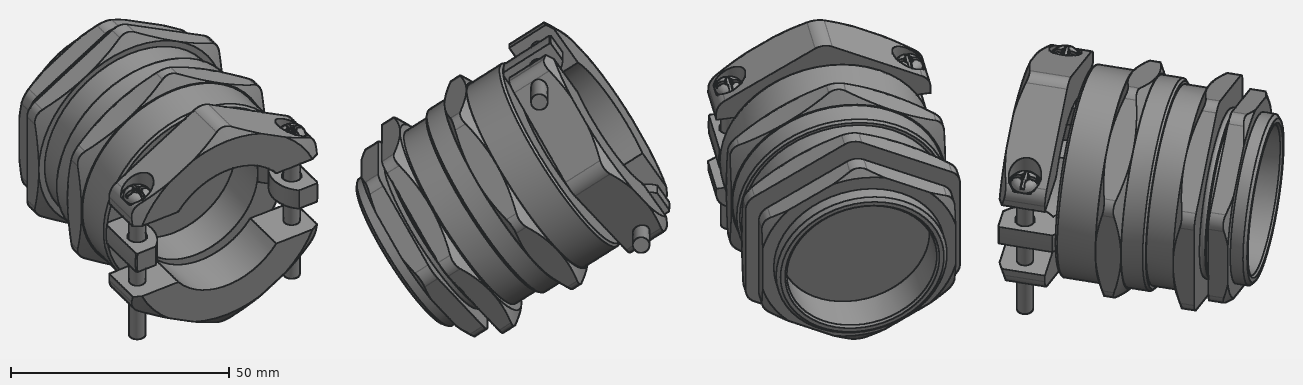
import cadquery as cq
import math

TOTAL_LENGTH = 57.2

HEX_FLATS = 50.0
HEX_CORNER_RADIUS = 4.0
HEX_CHAMFER_ANGLE = 30.0

THREAD_DIAMETER = 39.85
THREAD_CHAMFER_LENGTH = 0.75
THREAD_CHAMFER_DEPTH = 0.85
THREAD_END = 9.45
INLET_DIAMETER = 35.0
INLET_DEPTH = 9.15
INLET_CHAMFER = 0.5

SEAL_START = 9.7
SEAL_DIAMETER = THREAD_DIAMETER
SEAL_CROWN = 0.3
NECK_DIAMETER = 39.4

NUT_START = 3.7
NUT_END = 8.3
NUT_FLATS = 45.0
NUT_CHAMFER_DIAMETER = 46.6

BODY_HEX_START = 11.05
BODY_HEX_END = 16.0
BODY_DIAMETER = 46.85

CAP_DIAMETER = 49.5
CAP_START = 22.65
CAP_END = 43.8
CAP_CHAMFER = 0.6
CAP_HEX_START = 28.25
CAP_HEX_END = 34.25
OUTLET_DIAMETER = 33.5

LUG_THICKNESS = 5.4
LUG_WAIST_Y = 18.6
LUG_ROOT_CHAMFER = 0.65
LUG_END_CHAMFER = 0.3
LUG_BULGE_Y = 16.6
LUG_TIP_Y = 19.45
LUG_FLARE = LUG_WAIST_Y - OUTLET_DIAMETER / 2
LUG_HOLE_DIAMETER = 4.5

CLAMP_START = 46.1
CLAMP_CHAMFER_DIAMETER = 50.55
CLAMP_GAP = 20.5

SCREW_X = 51.7
SCREW_Y = 20.95
SCREW_DIAMETER = 3.85
SCREW_BOTTOM = -25.9
HEAD_SEAT = 14.4
HEAD_HEIGHT = 1.95
HEAD_DIAMETER = 6.5
COUNTERBORE_DIAMETER = 7.5
DRIVE_LENGTH = 5.85
DRIVE_WIDTH = 0.85
DRIVE_DEPTH = 1.15
DRIVE_CENTRE_DIAMETER = 2.2
DRIVE_CENTRE_DEPTH = 0.6


def revolve_about_x(points):
    """Turn an (x, radius) outline about the X axis."""
    return cq.Workplane("XY").polyline(points).close().revolve(360, (0, 0, 0), (1, 0, 0))


def rod(start, end, diameter):
    """Cylinder along the X axis."""
    return cq.Workplane("YZ", origin=(start, 0, 0)).circle(diameter / 2).extrude(end - start)


def post(x, y, bottom, top, diameter):
    """Cylinder along the Z direction."""
    return cq.Workplane("XY", origin=(x, y, bottom)).circle(diameter / 2).extrude(top - bottom)


def hexagon(start, end, flats, start_chamfer=None, end_chamfer=None):
    """Rounded hexagonal prism with corners up and down; a chamfer is given by its circle on the face."""
    corner_diameter = flats / math.cos(math.pi / 6)
    prism = (
        cq.Workplane("YZ", origin=(start, 0, 0))
        .transformed(rotate=(0, 0, 90))
        .polygon(6, corner_diameter)
        .extrude(end - start)
        .edges("|X")
        .fillet(HEX_CORNER_RADIUS)
    )
    outer = corner_diameter / 2
    slope = math.tan(math.radians(HEX_CHAMFER_ANGLE))
    start_radius = start_chamfer / 2 if start_chamfer else outer
    end_radius = end_chamfer / 2 if end_chamfer else outer
    outline = [(start, 0), (start, start_radius)]
    if start_chamfer:
        outline.append((start + (outer - start_radius) * slope, outer))
    if end_chamfer:
        outline.append((end - (outer - end_radius) * slope, outer))
    outline += [(end, end_radius), (end, 0)]
    return prism.intersect(revolve_about_x(outline))


def make_thread():
    """Solid inlet cylinder with a chamfered mouth."""
    radius = THREAD_DIAMETER / 2
    return revolve_about_x([
        (0, 0),
        (0, radius - THREAD_CHAMFER_DEPTH),
        (THREAD_CHAMFER_LENGTH, radius),
        (THREAD_END, radius),
        (THREAD_END, 0),
    ])


def make_sealing_ring():
    """Disc with a crowned rim."""
    crest = SEAL_DIAMETER / 2
    outline = (
        cq.Workplane("XY")
        .moveTo(SEAL_START, 0)
        .lineTo(SEAL_START, crest - SEAL_CROWN)
        .threePointArc(((SEAL_START + BODY_HEX_START) / 2, crest), (BODY_HEX_START, crest - SEAL_CROWN))
        .lineTo(BODY_HEX_START, 0)
        .close()
    )
    return outline.revolve(360, (0, 0, 0), (1, 0, 0))


def make_cap():
    """Chamfered barrel with a hexagon around it."""
    barrel = rod(CAP_START, CAP_END, CAP_DIAMETER).edges().chamfer(CAP_CHAMFER)
    nut = hexagon(CAP_HEX_START, CAP_HEX_END, HEX_FLATS, HEX_FLATS, HEX_FLATS)
    return barrel.union(nut)


def make_inlet():
    """Blind bore with a chamfered mouth."""
    radius = INLET_DIAMETER / 2
    return revolve_about_x([
        (0, 0),
        (0, radius + INLET_CHAMFER),
        (INLET_CHAMFER, radius),
        (INLET_DEPTH, radius),
        (INLET_DEPTH, 0),
    ])


def make_lug(side):
    """Lug with a round outer side; `side` is -1 or 1, the sign of its Y position."""
    outer_radius = CAP_DIAMETER / 2
    plate = (
        cq.Workplane("XY", origin=(0, 0, -LUG_THICKNESS / 2))
        .moveTo(CAP_END, side * outer_radius)
        .lineTo(CAP_END, side * OUTLET_DIAMETER / 2)
        .lineTo(CAP_END + LUG_FLARE, side * LUG_WAIST_Y)
        .threePointArc((SCREW_X, side * LUG_BULGE_Y), (TOTAL_LENGTH, side * LUG_TIP_Y))
        .lineTo(TOTAL_LENGTH, side * outer_radius)
        .close()
        .extrude(LUG_THICKNESS)
    )
    envelope = revolve_about_x([
        (CAP_END, 0),
        (CAP_END, outer_radius - LUG_ROOT_CHAMFER),
        (CAP_END + LUG_ROOT_CHAMFER, outer_radius),
        (TOTAL_LENGTH - LUG_END_CHAMFER, outer_radius),
        (TOTAL_LENGTH, outer_radius - LUG_END_CHAMFER),
        (TOTAL_LENGTH, 0),
    ])
    hole = post(SCREW_X, side * SCREW_Y, -LUG_THICKNESS / 2, LUG_THICKNESS / 2, LUG_HOLE_DIAMETER)
    return plate.intersect(envelope).cut(hole)


def make_gland():
    """Threaded body with its locknut, sealing ring, cap and screw lugs."""
    gland = (
        make_thread()
        .union(rod(THREAD_END, SEAL_START, NECK_DIAMETER))
        .union(make_sealing_ring())
        .union(hexagon(NUT_START, NUT_END, NUT_FLATS, start_chamfer=NUT_CHAMFER_DIAMETER))
        .union(hexagon(BODY_HEX_START, BODY_HEX_END, HEX_FLATS, end_chamfer=HEX_FLATS))
        .union(rod(BODY_HEX_END, CAP_START, BODY_DIAMETER))
        .union(make_cap())
    )
    for side in (-1, 1):
        gland = gland.union(make_lug(side))
    return gland.cut(make_inlet()).cut(rod(CAP_HEX_END, CAP_END, OUTLET_DIAMETER))


def make_clamp_halves():
    """Hexagonal ring parted by a wide gap, with seats for the two screw heads."""
    length = TOTAL_LENGTH - CLAMP_START
    gap = cq.Workplane("XY").box(length, HEX_FLATS, CLAMP_GAP).translate((CLAMP_START + length / 2, 0, 0))
    halves = (
        hexagon(CLAMP_START, TOTAL_LENGTH, HEX_FLATS, end_chamfer=CLAMP_CHAMFER_DIAMETER)
        .cut(rod(CLAMP_START, TOTAL_LENGTH, OUTLET_DIAMETER))
        .cut(gap)
    )
    for side in (-1, 1):
        halves = halves.cut(post(SCREW_X, side * SCREW_Y, HEAD_SEAT, HEX_FLATS / 2, COUNTERBORE_DIAMETER))
    return halves


def make_drive_recess():
    """Crossed slots and a shallower round centre, sunk from the top of a head that stands on z = 0."""
    slot = (
        cq.Workplane("XY", origin=(0, 0, HEAD_HEIGHT - DRIVE_DEPTH))
        .rect(DRIVE_LENGTH, DRIVE_WIDTH)
        .extrude(DRIVE_DEPTH)
    )
    crossing_slot = slot.rotate((0, 0, 0), (0, 0, 1), 90)
    centre = post(0, 0, HEAD_HEIGHT - DRIVE_CENTRE_DEPTH, HEAD_HEIGHT, DRIVE_CENTRE_DIAMETER)
    return slot.union(crossing_slot).union(centre)


def make_screw(side):
    """Cross-drive screw whose head edge is rounded over its full height."""
    head = (
        cq.Workplane("XZ")
        .lineTo(HEAD_DIAMETER / 2, 0)
        .radiusArc((HEAD_DIAMETER / 2 - HEAD_HEIGHT, HEAD_HEIGHT), -HEAD_HEIGHT)
        .lineTo(0, HEAD_HEIGHT)
        .close()
        .revolve(360, (0, 0, 0), (0, 1, 0))
        .cut(make_drive_recess())
        .translate((SCREW_X, side * SCREW_Y, HEAD_SEAT))
    )
    shank = post(SCREW_X, side * SCREW_Y, SCREW_BOTTOM, HEAD_SEAT, SCREW_DIAMETER)
    return shank.union(head)


def make_clamp():
    """Both clamp halves, joined into one solid by the two screws."""
    clamp = make_clamp_halves()
    for side in (-1, 1):
        clamp = clamp.union(make_screw(side))
    return clamp


gland = make_gland()
clamp = make_clamp()

result = cq.Compound.makeCompound([gland.solids().val(), clamp.solids().val()])